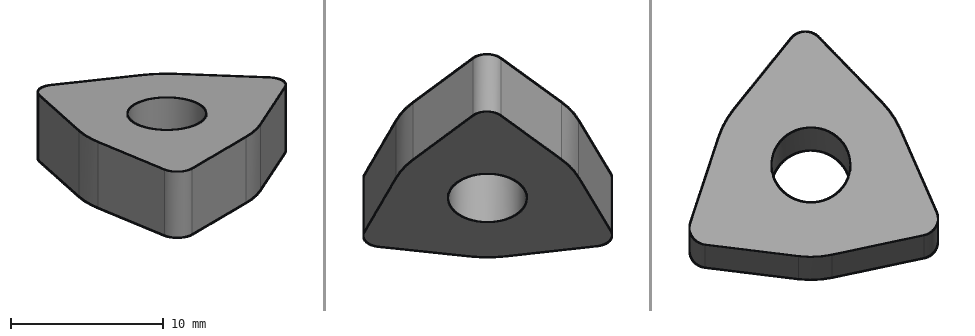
import cadquery as cq
import math

inscribed_diameter = 12.7
corner_radius = 1.19
thickness = 4.75
hole_diameter = 5.16

corner_count = 3
corner_angle = 80.0
first_corner_direction = -140.0

inscribed_radius = inscribed_diameter / 2
corner_pitch = 360.0 / corner_count
flank_normal_offset = 90.0 - corner_angle / 2
corner_center_distance = (
    (inscribed_radius - corner_radius) / math.cos(math.radians(flank_normal_offset))
)


def polar(radius, angle, origin=(0.0, 0.0)):
    """Point at a radius and an angle in degrees from an origin."""
    return (
        origin[0] + radius * math.cos(math.radians(angle)),
        origin[1] + radius * math.sin(math.radians(angle)),
    )


def insert_outline():
    """Rounded corners joined by flat flanks and arcs of the inscribed circle."""
    start = polar(inscribed_radius, first_corner_direction - flank_normal_offset)
    outline = cq.Workplane("XY").moveTo(*start)
    for index in range(corner_count):
        direction = first_corner_direction + index * corner_pitch
        entry_normal = direction - flank_normal_offset
        exit_normal = direction + flank_normal_offset
        center = polar(corner_center_distance, direction)
        next_entry_normal = entry_normal + corner_pitch
        side_middle = direction + corner_pitch / 2

        outline = outline.lineTo(*polar(corner_radius, entry_normal, center))
        outline = outline.threePointArc(
            polar(corner_radius, direction, center),
            polar(corner_radius, exit_normal, center),
        )
        outline = outline.lineTo(*polar(inscribed_radius, exit_normal))
        outline = outline.threePointArc(
            polar(inscribed_radius, side_middle),
            polar(inscribed_radius, next_entry_normal),
        )
    return outline.close()


body = insert_outline().extrude(thickness)
hole = cq.Workplane("XY").circle(hole_diameter / 2).extrude(thickness)
result = body.cut(hole)